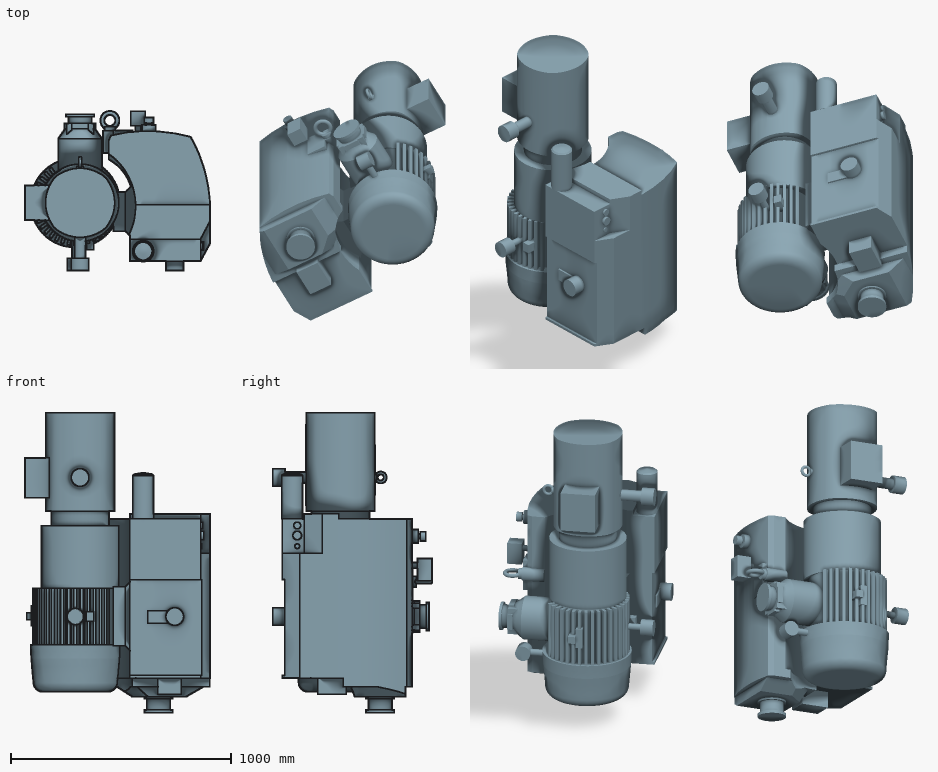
import cadquery as cq
import math

TOP = 1362.0
FRONT = -308.0
KNOB_BACK = -250.0
FAR = 817.0
EMBED = 14.0

HEAD_HALF = 157.0
HEAD_BOTTOM = 915.0
HEAD_JOINT_WIDE = 131.0
HEAD_JOINT_NARROW = 93.0
HEAD_CORNER_RADIUS = 162.0
NECK_RADIUS = 132.0
SLEEVE_RADIUS = 176.0
SLEEVE_TOP = 850.0
SLEEVE_BOTTOM = 567.0
TERMINAL_BOX = (-250.0, -139.0, -79.0, 79.0, 975.0, 1156.0)
LIFT_HEIGHT = 1068.0

MOTOR_X = -22.0
CORE_RADIUS = 162.0
FIN_TIP_RADIUS = 193.0
FIN_WIDTH = 14.0
FIN_PITCH = 9
FIN_FIRST = 126
FIN_LAST = 320
FIN_BOTTOM = 309.0
COWL_RADIUS = 203.0
COWL_RIM_HEIGHT = 63.0
COWL_RIM_RADIUS = 200.0
COWL_LOW_RADIUS = 190.0
COWL_BOTTOM = 95.0
COWL_FILLET = 45.0
PORT_HEIGHT = 437.0

COUPLING_FACE = 205.0
COUPLING_START = 151.0
COUPLING_Y = (-130.0, 49.0)
COUPLING_Z = (304.0, 573.0)

HOUSING_LEFT = 130.0
PANEL_LEFT = 226.0
HOUSING_RIGHT = 590.0
HOUSING_FRONT = -264.0
HOUSING_BOTTOM = 158.0
HOUSING_TOP = 880.0
CORNER_X = 546.0
CORNER_Y = -184.0
RIDGE_BACK = -8.0
RIDGE_FRONT = -165.0
RIDGE_TOP = 903.0
NOTCH_BOTTOM = 723.0
NOTCH_BACK = -82.0
PANEL_RECESS = 11.0
PANEL_RECESS_Z = (170.0, 605.0)
CLEARANCE_RADIUS = 291.0
CLEARANCE_CENTRE = (-40.0, -15.0)
BASE_BOTTOM = 118.0
BASE_FRONT = 14.0
BASE_CLEARANCE_RADIUS = 200.0
BASE_CLEARANCE_CENTRE = (37.0, 19.0)
BOSS_FRONT = -104.0
PAN_BOTTOM = 74.0
MOUNT_BACK = 300.0

PORT_TUBE = 108.0
PORT_FLANGE = 130.0

KNOB = 80.0
SMALL_KNOB = 75.0
HEAD_STEM = 50.0
THIN_STEM = 30.0
HEAD_EYE_Y = 183.0
HEAD_EYE_RADIUS = 20.0
HEAD_EYE_WIRE = 7.0
STUDS = ((850.0, 31.0, 10.0), (805.0, 40.0, 14.0), (756.0, 22.0, 5.0))
STUD_Y = -196.0
SENSOR_BOX = (229.0, 295.0, 349.0, 415.0, 600.0, 701.0)
MOUNTING_PAD = (150.0, 238.0, 272.0, 328.0, 511.0, 654.0)


def block(x0, x1, y0, y1, z0, z1):
    """Box given by its ranges along X, Y and Z."""
    size = (x1 - x0, y1 - y0, z1 - z0)
    return cq.Workplane("XY").box(*size, centered=False).translate((x0, y0, z0))


def rod(start, axis, diameter, length):
    """Round bar from a start point along an axis."""
    bar = cq.Solid.makeCylinder(diameter / 2, length, cq.Vector(*start), cq.Vector(*axis))
    return cq.Workplane(obj=bar)


def rod_y(x, z, y0, y1, diameter):
    """Round bar parallel to Y between two Y positions."""
    return rod((x, y0, z), (0, 1, 0), diameter, y1 - y0)


def disc(x, y, z0, z1, diameter):
    """Vertical round bar between two heights."""
    return rod((x, y, z0), (0, 0, 1), diameter, z1 - z0)


def ring(centre, axis, ring_radius, wire_radius):
    """Lifting eye ring."""
    torus = cq.Solid.makeTorus(ring_radius, wire_radius, cq.Vector(*centre), cq.Vector(*axis))
    return cq.Workplane(obj=torus)


def drive_head():
    """Rounded-square head with bulging sides, its neck and the sleeve below."""
    wide = HEAD_JOINT_WIDE
    narrow = HEAD_JOINT_NARROW
    corner = HEAD_CORNER_RADIUS * math.sqrt(0.5)
    outline = (
        cq.Workplane("XY").workplane(offset=HEAD_BOTTOM).moveTo(wide, -narrow)
        .threePointArc((HEAD_HALF, 0), (wide, narrow))
        .threePointArc((corner, corner), (narrow, wide))
        .threePointArc((0, HEAD_HALF), (-narrow, wide))
        .threePointArc((-corner, corner), (-wide, narrow))
        .threePointArc((-HEAD_HALF, 0), (-wide, -narrow))
        .threePointArc((-corner, -corner), (-narrow, -wide))
        .threePointArc((0, -HEAD_HALF), (narrow, -wide))
        .threePointArc((corner, -corner), (wide, -narrow))
        .close()
    )
    head = outline.extrude(TOP - HEAD_BOTTOM)
    neck = disc(0, 0, SLEEVE_TOP, HEAD_BOTTOM, 2 * NECK_RADIUS)
    sleeve = disc(0, 0, SLEEVE_BOTTOM, SLEEVE_TOP, 2 * SLEEVE_RADIUS)
    return head.union(neck).union(sleeve).union(block(*TERMINAL_BOX))


def head_fittings():
    """Front knob on its stem and the small lifting eye at the back."""
    stem = rod_y(0, LIFT_HEIGHT, KNOB_BACK, -HEAD_HALF + EMBED, HEAD_STEM)
    knob = rod_y(0, LIFT_HEIGHT, FRONT, KNOB_BACK, KNOB)
    collar_end = HEAD_EYE_Y - HEAD_EYE_RADIUS + HEAD_EYE_WIRE / 2
    collar = rod_y(0, LIFT_HEIGHT, HEAD_HALF - EMBED, collar_end, THIN_STEM)
    eye = ring((0, HEAD_EYE_Y, LIFT_HEIGHT), (1, 0, 0), HEAD_EYE_RADIUS, HEAD_EYE_WIRE)
    return stem.union(knob).union(collar).union(eye)


def stator():
    """Round core carrying radial fins everywhere but behind the side port."""
    body = disc(MOTOR_X, 0, FIN_BOTTOM - EMBED, SLEEVE_BOTTOM, 2 * CORE_RADIUS)
    for angle in range(FIN_FIRST, FIN_LAST, FIN_PITCH):
        fin = block(
            CORE_RADIUS - EMBED, FIN_TIP_RADIUS, -FIN_WIDTH / 2, FIN_WIDTH / 2, FIN_BOTTOM, SLEEVE_BOTTOM
        )
        body = body.union(fin.rotate((0, 0, 0), (0, 0, 1), angle).translate((MOTOR_X, 0, 0)))
    return body


def fan_cowl():
    """Turned cowl with a tapering wall and a rounded bottom edge."""
    fillet_start = COWL_BOTTOM + COWL_FILLET
    flat_radius = COWL_LOW_RADIUS - COWL_FILLET
    diagonal = COWL_FILLET * math.sqrt(0.5)
    profile = (
        cq.Workplane("XZ").moveTo(0, FIN_BOTTOM)
        .lineTo(COWL_RADIUS, FIN_BOTTOM)
        .lineTo(COWL_RIM_RADIUS, FIN_BOTTOM - COWL_RIM_HEIGHT)
        .lineTo(COWL_LOW_RADIUS, fillet_start)
        .threePointArc((flat_radius + diagonal, fillet_start - diagonal), (flat_radius, COWL_BOTTOM))
        .lineTo(0, COWL_BOTTOM)
        .close()
    )
    return profile.revolve(360, (0, 0, 0), (0, 1, 0)).translate((MOTOR_X, 0, 0))


def stator_fittings():
    """Front knob, the three small blocks among the fins and the knob at the back."""
    core_front = -CORE_RADIUS + EMBED
    core_left = MOTOR_X - CORE_RADIUS + EMBED
    fittings = rod_y(MOTOR_X, PORT_HEIGHT, KNOB_BACK, core_front, THIN_STEM)
    fittings = fittings.union(rod_y(MOTOR_X, PORT_HEIGHT, FRONT, KNOB_BACK, SMALL_KNOB))
    fittings = fittings.union(block(29.0, 63.0, -214.0, core_front, 415.0, 459.0))
    fittings = fittings.union(block(-242.0, core_left, 15.0, 48.0, 422.0, 455.0))
    fittings = fittings.union(block(-222.0, core_left, -15.0, 15.0, 395.0, 486.0))
    back_knob_left = -68.0
    back_knob_length = 59.0
    back_knob_y = 289.0
    back_knob_z = 286.0
    back_knob = rod((back_knob_left, back_knob_y, back_knob_z), (1, 0, 0), 70.0, back_knob_length)
    back_stem_x = back_knob_left + back_knob_length / 2
    back_stem = rod_y(back_stem_x, back_knob_z, CORE_RADIUS, back_knob_y, THIN_STEM)
    return fittings.union(back_knob).union(back_stem)


def side_port():
    """Horizontal port at the back: barrel, cone, clamp collar, tube and flange."""
    barrel = 100.0
    mouth = 68.0
    tube = PORT_TUBE / 2
    flange = PORT_FLANGE / 2
    root = CORE_RADIUS - 3 * EMBED
    cone_start = 291.0
    cone_end = 335.0
    collar_end = 360.0
    flange_start = 390.0
    tip = 402.0
    profile = cq.Workplane("XY").polyline([
        (0, root), (barrel, root), (barrel, cone_start), (mouth, cone_end), (mouth, collar_end),
        (tube, collar_end), (tube, flange_start), (flange, flange_start), (flange, tip), (0, tip),
    ])
    port = profile.close().revolve(360, (0, 0, 0), (0, 1, 0))
    pad_half = 37.0
    pad_reach = 71.0
    port = port.union(block(-pad_reach, pad_reach, cone_end, collar_end, -pad_half, pad_half))
    port = port.union(block(-pad_half, pad_half, cone_end, collar_end, -pad_reach, pad_reach))
    lug_half = 12.0
    lug_offset = 49.0
    lug = block(-lug_half, lug_half, 310.0, collar_end, -lug_half, lug_half)
    for side in (-lug_offset, lug_offset):
        for level in (-lug_offset, lug_offset):
            port = port.union(lug.translate((side, 0, level)))
    return port.translate((0, 0, PORT_HEIGHT))


def coupling_block():
    """Flange block facing the housing, with a narrower web back to the stator core."""
    face = block(COUPLING_START, COUPLING_FACE, *COUPLING_Y, *COUPLING_Z)
    web = block(MOTOR_X, COUPLING_START, -COUPLING_Y[1], COUPLING_Y[1], FIN_BOTTOM, SLEEVE_BOTTOM)
    return face.union(web)


def housing_outline(z):
    """Plan outline of the housing before the motor clearance is cut."""
    return (
        cq.Workplane("XY").workplane(offset=z).moveTo(HOUSING_LEFT, HOUSING_FRONT)
        .lineTo(HOUSING_LEFT, 282.0)
        .lineTo(140.0, 305.0)
        .threePointArc((351.0, 324.0), (501.0, 300.0))
        .threePointArc((558.0, 169.0), (HOUSING_RIGHT, RIDGE_BACK))
        .lineTo(HOUSING_RIGHT, CORNER_Y)
        .lineTo(CORNER_X, HOUSING_FRONT)
        .close()
    )


def housing_shell():
    """Tall casing with a raised ridge, a recessed lower panel and a notched front corner."""
    body = housing_outline(HOUSING_BOTTOM).extrude(RIDGE_TOP - HOUSING_BOTTOM)
    body = body.cut(block(0, FAR, RIDGE_BACK, FAR, HOUSING_TOP, RIDGE_TOP))
    body = body.cut(block(0, FAR, -FAR, RIDGE_FRONT, HOUSING_TOP, RIDGE_TOP))
    body = body.cut(block(0, PANEL_LEFT, -FAR, CLEARANCE_CENTRE[1], 0, TOP))
    body = body.cut(block(0, FAR, -FAR, HOUSING_FRONT + PANEL_RECESS, *PANEL_RECESS_Z))
    notch = (
        cq.Workplane("XY").workplane(offset=NOTCH_BOTTOM)
        .polyline([
            (HOUSING_RIGHT, NOTCH_BACK), (CORNER_X, RIDGE_FRONT), (CORNER_X, HOUSING_FRONT),
            (HOUSING_RIGHT, HOUSING_FRONT),
        ])
        .close().extrude(RIDGE_TOP - NOTCH_BOTTOM)
    )
    return body.cut(notch)


def pan():
    """Pan below the base plate: a five-sided section that narrows downwards."""
    left = 168.0
    bottom_left = 237.0
    side_start = 136.0
    back = 295.0
    right = 558.0
    bottom_right = 481.0
    front = 48.0
    bottom_front = 64.0
    tapered = (
        cq.Workplane("XY").workplane(offset=BASE_BOTTOM)
        .polyline([(259.0, front), (left, side_start), (left, back), (right, back), (right, front)])
        .close()
        .workplane(offset=PAN_BOTTOM - BASE_BOTTOM)
        .polyline([
            (308.0, bottom_front), (bottom_left, side_start), (bottom_left, back),
            (bottom_right, back), (bottom_right, bottom_front),
        ])
        .close()
        .loft(ruled=True)
    )
    return tapered.intersect(housing_outline(PAN_BOTTOM).extrude(BASE_BOTTOM - PAN_BOTTOM))


def base_and_pan():
    """Base plate under the rear of the housing with the pan below it and a boss in front."""
    rear = block(0, HOUSING_RIGHT, BASE_FRONT, FAR, PAN_BOTTOM, HOUSING_BOTTOM)
    plate = housing_outline(BASE_BOTTOM).extrude(HOUSING_BOTTOM - BASE_BOTTOM)
    clearance = disc(*BASE_CLEARANCE_CENTRE, 0, HOUSING_BOTTOM, 2 * BASE_CLEARANCE_RADIUS)
    base = plate.union(pan()).intersect(rear).cut(clearance)
    boss = block(353.0, 459.0, BOSS_FRONT, BASE_FRONT + EMBED, 85.0, HOUSING_BOTTOM)
    return base.union(boss)


def coupling_seat():
    """Four-sided 45 degree frustum that widens from the coupling face into the housing."""
    depth = 50.0
    width = COUPLING_Y[1] - COUPLING_Y[0]
    height = COUPLING_Z[1] - COUPLING_Z[0]
    return (
        cq.Workplane("YZ", origin=(COUPLING_FACE, 0, 0)).center(sum(COUPLING_Y) / 2, sum(COUPLING_Z) / 2)
        .rect(width, height)
        .workplane(offset=depth).rect(width + 2 * depth, height + 2 * depth).loft(ruled=True)
    )


def lower_port():
    """Vertical flanged port below the pan."""
    x = 355.0
    y = 180.0
    flange_top = 14.0
    collar_bottom = 65.0
    port = disc(x, y, 0, flange_top, PORT_FLANGE)
    port = port.union(disc(x, y, 0, PAN_BOTTOM + EMBED, PORT_TUBE))
    return port.union(disc(x, y, collar_bottom, PAN_BOTTOM + EMBED, PORT_FLANGE))


def front_post():
    """Upright post on the front shelf with a bevelled, slightly pointed top."""
    x = 286.0
    y = -219.0
    radius = 48.0
    bevel_start = 1076.0
    bevel = 7.0
    tip = 1090.0
    profile = (
        cq.Workplane("XZ").moveTo(0, HOUSING_TOP)
        .lineTo(radius, HOUSING_TOP)
        .lineTo(radius, bevel_start)
        .lineTo(radius - bevel, bevel_start + bevel)
        .lineTo(0, tip)
        .close()
    )
    return profile.revolve(360, (0, 0, 0), (0, 1, 0)).translate((x, y, 0))


def panel_handle():
    """Knob and flat plate on the lower front panel."""
    panel = HOUSING_FRONT + PANEL_RECESS
    knob_x = 429.0
    plate_thickness = 8.0
    plate = block(308.0, knob_x, panel - plate_thickness, panel + EMBED, 406.0, 463.0)
    return plate.union(rod_y(knob_x, PORT_HEIGHT, FRONT, panel + EMBED, KNOB))


def corner_studs():
    """Three short studs one above another on the side wall of the notched corner."""
    studs = cq.Workplane("XY")
    for height, diameter, reach in STUDS:
        start = (CORNER_X - EMBED, STUD_Y, height)
        studs = studs.add(rod(start, (1, 0, 0), diameter, EMBED + reach))
    return studs


def rear_fittings():
    """Lifting eye on its boss, its mounting pad, sensor box and a connector on the back of the housing."""
    eye_x = 135.0
    eye_z = 595.0
    fittings = block(*MOUNTING_PAD)
    collar_start = 327.0
    collar_end = 345.0
    fittings = fittings.union(rod_y(eye_x, eye_z, 225.0, collar_start, 63.0))
    fittings = fittings.union(rod_y(eye_x, eye_z, collar_start, collar_end, 50.0))
    fittings = fittings.union(ring((eye_x, 373.0, eye_z), (0, 0, 1), 34.0, 10.0))
    fittings = fittings.union(block(*SENSOR_BOX))
    fittings = fittings.union(rod_y(263.0, 669.0, MOUNT_BACK, SENSOR_BOX[2], 27.0))
    connector_x = 312.0
    connector_z = 801.0
    for y0, y1, diameter in ((MOUNT_BACK, 353.0, 63.0), (353.0, 361.0, 22.0), (361.0, 387.0, 44.0)):
        fittings = fittings.union(rod_y(connector_x, connector_z, y0, y1, diameter))
    return fittings


def drive_unit():
    unit = drive_head()
    parts = (head_fittings, stator, fan_cowl, stator_fittings, side_port, coupling_block)
    for part in parts:
        unit = unit.union(part())
    return unit


def housing_unit():
    clearance = disc(*CLEARANCE_CENTRE, 0, TOP, 2 * CLEARANCE_RADIUS)
    unit = housing_shell().cut(clearance).union(base_and_pan())
    parts = (coupling_seat, lower_port, front_post, panel_handle, corner_studs, rear_fittings)
    for part in parts:
        unit = unit.union(part())
    return unit


drive = drive_unit()
housing = housing_unit()
result = cq.Compound.makeCompound([drive.solids().val(), housing.solids().val()])